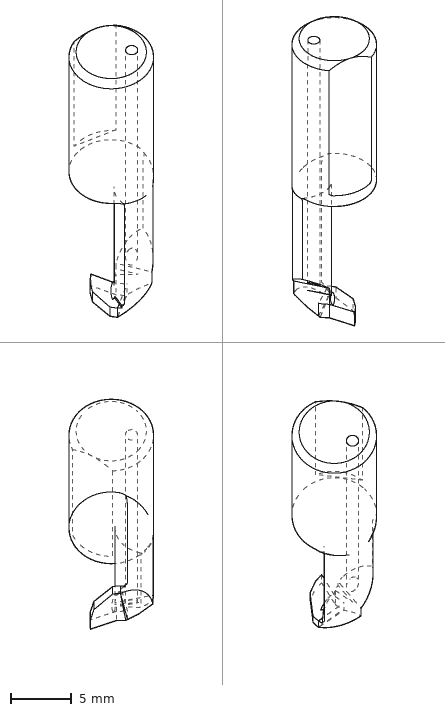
import cadquery as cq
import math

total_length = 30.0
shank_radius = 3.5
shank_bottom = 15.0
shank_chamfer = 0.6
flat_distance = 2.9
flat_bottom = 16.15
flat_root_radius = 0.2
flat_direction = 135.0

neck_radius = 2.78
neck_left = 0.38
right_arc_x = shank_radius - neck_radius
left_arc_x = neck_left + neck_radius
neck_top_fillet = 1.0
neck_bottom_fillet = 0.63
ledge_z = 1.3
flare_radius = 3 * shank_radius

trim_start = (0.89, -1.79)
trim_end = (1.75, -2.57)

back_y = 0.12
back_slope_start = 3.5
end_slope_top = 2.14
end_slope_bottom = 0.15

hole_radius = 0.5
hole_x = 1.54
hole_y = 0.72

tip_x = -1.79
tip_y = 0.06
head_right = 1.4
head_height = 1.48
clearance = 0.055
flank_points = [(-1.64, -0.68), (-1.09, -1.68)]
flank_end_x = 0.76

groove_x = 0.5
groove_y = -0.27
groove_end_x = 2.3
groove_wall_bottom = 2.55
groove_wall_top = 2.8

reach = 2 * shank_radius


def foot_y(x):
    """Y of the front side of the round foot at a given X."""
    return -math.sqrt(neck_radius**2 - (x - right_arc_x)**2)


def cylinder(x, y, radius, bottom, top):
    return cq.Workplane("XY", origin=(x, y, bottom)).circle(radius).extrude(top - bottom)


def along_x(points, x_start, x_end):
    """Prism with a YZ outline, running along X."""
    return cq.Workplane("YZ", origin=(x_start, 0, 0)).polyline(points).close().extrude(x_end - x_start)


def make_shank():
    shank = cylinder(0, 0, shank_radius, shank_bottom, total_length).faces(">Z").chamfer(shank_chamfer)
    flat_cut = (
        cq.Workplane("XY")
        .box(reach, 2 * reach, total_length, centered=(False, True, False))
        .edges("<X and <Z")
        .fillet(flat_root_radius)
        .translate((flat_distance, 0, flat_bottom))
        .rotate((0, 0, 0), (0, 0, 1), flat_direction)
    )
    return shank.cut(flat_cut)


def make_spool(axis_x, flared_foot):
    """Round column with a flare at the top, and a second flare at the foot if wanted."""
    diagonal = math.sqrt(0.5)
    profile = cq.Workplane("XZ").moveTo(0, 0)
    if flared_foot:
        radius = neck_bottom_fillet
        profile = (
            profile.lineTo(flare_radius, 0)
            .lineTo(flare_radius, ledge_z)
            .lineTo(neck_radius + radius, ledge_z)
            .threePointArc(
                (neck_radius + radius * (1 - diagonal), ledge_z + radius * (1 - diagonal)),
                (neck_radius, ledge_z + radius),
            )
        )
    else:
        profile = profile.lineTo(neck_radius, 0)
    radius = neck_top_fillet
    profile = (
        profile.lineTo(neck_radius, shank_bottom - radius)
        .threePointArc(
            (neck_radius + radius * (1 - diagonal), shank_bottom - radius * (1 - diagonal)),
            (neck_radius + radius, shank_bottom),
        )
        .lineTo(0, shank_bottom)
        .close()
    )
    return profile.revolve(360, (0, 0, 0), (0, 1, 0)).translate((axis_x, 0, 0))


def make_flare_trim():
    """Block standing on the ledge, its inner side on the trim flat."""
    run_x = trim_end[0] - trim_start[0]
    run_y = trim_end[1] - trim_start[1]
    return (
        cq.Workplane("XY")
        .box(reach, reach, neck_bottom_fillet, centered=False)
        .translate((0, -reach, ledge_z))
        .rotate((0, 0, 0), (0, 0, 1), math.degrees(math.atan2(run_y, run_x)))
        .translate((*trim_start, 0))
    )


def make_neck():
    lens = make_spool(left_arc_x, True).intersect(make_spool(right_arc_x, False))
    lens = lens.intersect(cylinder(0, 0, shank_radius, 0, shank_bottom))
    back_cut = along_x(
        [
            (back_y, 0),
            (back_y, back_slope_start),
            (back_y + reach, back_slope_start + reach),
            (back_y + reach, 0),
        ],
        -reach,
        reach,
    )
    return lens.cut(back_cut).cut(make_flare_trim())


def make_end_slope():
    """Material removed under the sloped end of the tool."""
    slope = (end_slope_top - end_slope_bottom) / (shank_radius - head_right)
    zero_x = head_right - end_slope_bottom / slope
    far_x = zero_x + reach
    return (
        cq.Workplane("XZ", origin=(0, reach, 0))
        .polyline([(zero_x, 0), (far_x, reach * slope), (far_x, 0)])
        .close()
        .extrude(2 * reach)
    )


def make_chip_groove():
    """Shallow V in the rake side, closed upward by a sloped wall."""
    rake_slope = (groove_y - tip_y) / (groove_x - tip_x)
    start_x = tip_x - reach
    groove = (
        cq.Workplane("XY")
        .polyline([
            (start_x, tip_y - rake_slope * reach),
            (groove_x, groove_y),
            (groove_end_x, back_y),
            (groove_end_x, reach),
            (start_x, reach),
        ])
        .close()
        .extrude(groove_wall_top)
    )
    wall = along_x(
        [
            (groove_y, 0),
            (groove_y, groove_wall_bottom),
            (back_y, groove_wall_top),
            (reach, groove_wall_top),
            (reach, 0),
        ],
        -reach,
        reach,
    )
    return groove.intersect(wall)


def make_head_zone(bottom_rise):
    """Everything left of the joint plane and below the sloping head top."""
    front_y = tip_y - reach
    rear_y = tip_y + reach
    drop = clearance * reach
    return along_x(
        [
            (front_y, bottom_rise * reach),
            (tip_y, 0),
            (rear_y, 0),
            (rear_y, head_height + drop),
            (front_y, head_height - drop),
        ],
        -reach,
        head_right,
    )


end_slope = make_end_slope()
chip_groove = make_chip_groove()

holder = (
    make_shank()
    .union(make_neck())
    .cut(cylinder(hole_x, hole_y, hole_radius, 0, total_length))
    .cut(make_head_zone(0))
    .cut(end_slope)
    .cut(chip_groove)
)

foot_middle_x = (flank_end_x + head_right) / 2
cutting_head = (
    cq.Workplane("XY")
    .polyline([(tip_x, back_y), (tip_x, tip_y), *flank_points, (flank_end_x, foot_y(flank_end_x))])
    .threePointArc((foot_middle_x, foot_y(foot_middle_x)), (head_right, foot_y(head_right)))
    .lineTo(head_right, back_y)
    .close()
    .extrude(head_height)
    .intersect(make_head_zone(clearance))
    .cut(end_slope)
    .cut(chip_groove)
)

result = cq.Compound.makeCompound([holder.val(), cutting_head.val()])